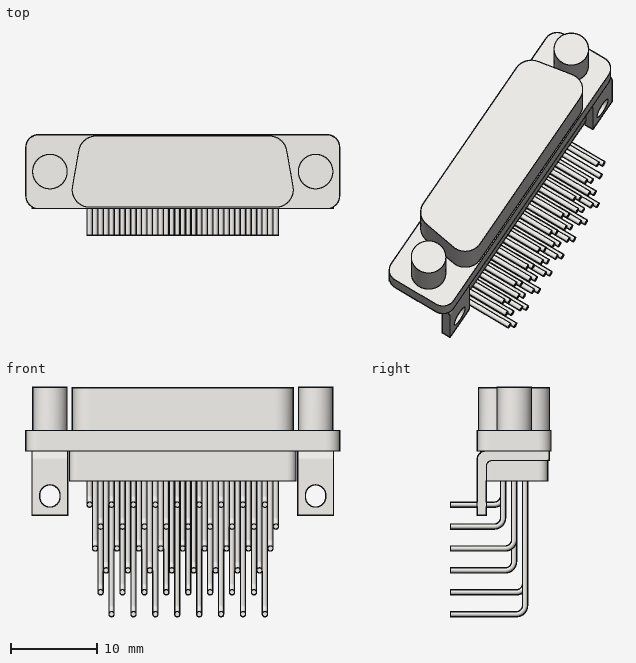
import cadquery as cq
import math


TOTAL_HEIGHT = 26.65

FLANGE_LENGTH = 36.4
FLANGE_WIDTH = 8.6
FLANGE_THICKNESS = 2.4
FLANGE_CORNER_RADIUS = 1.5

SHELL_MAX_LENGTH = 25.63
SHELL_WIDTH = 8.25
SHELL_HEIGHT = 4.95
SHELL_CORNER_RADIUS = 2.05
SHELL_SIDE_ANGLE = 10.0

POST_SPACING = 30.8
POST_DIAMETER = 4.0
POST_HEIGHT = 5.02

BODY_LENGTH = 26.28
BODY_WIDTH = 7.83
BODY_DEPTH = 3.5
BODY_CORNER_RADIUS = 1.0

BRACKET_WIDTH = 4.2
BRACKET_THICKNESS = 1.1
BRACKET_DROP = 7.45
BRACKET_REAR_SETBACK = 0.22
BRACKET_OUTER_RADIUS = 1.0
BRACKET_INNER_RADIUS = 0.65
BRACKET_HOLE_WIDTH = 2.33
BRACKET_HOLE_HEIGHT = 2.55
BRACKET_HOLE_DROP = 5.2

PIN_DIAMETER = 0.62
PIN_BEND_RADIUS = 1.02
PIN_TIP_Y = -7.4
PIN_LOWEST_DROP = TOTAL_HEIGHT - POST_HEIGHT - FLANGE_THICKNESS - PIN_DIAMETER / 2
PINS_PER_ROW = (18, 17, 16)
FRONT_ROW_SPAN = 21.6
PIN_PITCH = FRONT_ROW_SPAN / (PINS_PER_ROW[0] - 1)
ROW_SPACING = 1.27
LEVELS_PER_ROW = 2
LEVEL_SPACING = 2 * PIN_PITCH
LEVEL_COUNT = LEVELS_PER_ROW * len(PINS_PER_ROW)


def rounded_plate(length, width, height, radius):
    """Upright plate standing on Z = 0 with rounded vertical edges."""
    plate = cq.Workplane("XY").box(length, width, height, centered=(True, True, False))
    return plate.edges("|Z").fillet(radius)


def make_shell():
    """Trapezoid with rounded corners, rising from the top of the flange."""
    angle = math.radians(SHELL_SIDE_ANGLE)
    half_width = SHELL_WIDTH / 2
    corner_overhang = SHELL_CORNER_RADIUS * (1 / math.cos(angle) + math.tan(angle) - 1)
    front_half = SHELL_MAX_LENGTH / 2 + corner_overhang
    back_half = front_half - SHELL_WIDTH * math.tan(angle)
    corners = [
        (-front_half, -half_width),
        (front_half, -half_width),
        (back_half, half_width),
        (-back_half, half_width),
    ]
    shell = cq.Workplane("XY", origin=(0, 0, FLANGE_THICKNESS)).polyline(corners).close()
    return shell.extrude(SHELL_HEIGHT).edges("|Z").fillet(SHELL_CORNER_RADIUS)


def make_posts():
    """Pair of round posts on top of the flange."""
    base = cq.Workplane("XY", origin=(0, 0, FLANGE_THICKNESS))
    centres = [(-POST_SPACING / 2, 0), (POST_SPACING / 2, 0)]
    return base.pushPoints(centres).circle(POST_DIAMETER / 2).extrude(POST_HEIGHT)


def make_bracket(x_centre):
    """L-bracket: one leg under the flange, the other hanging flush with the flange front."""
    front = -FLANGE_WIDTH / 2
    rear = FLANGE_WIDTH / 2 - BRACKET_REAR_SETBACK
    leg_back = front + BRACKET_THICKNESS
    profile = [
        (rear, 0),
        (front, 0),
        (front, -BRACKET_DROP),
        (leg_back, -BRACKET_DROP),
        (leg_back, -BRACKET_THICKNESS),
        (rear, -BRACKET_THICKNESS),
    ]
    bracket = cq.Workplane("YZ", origin=(x_centre, 0, 0)).polyline(profile).close()
    bracket = bracket.extrude(BRACKET_WIDTH / 2, both=True)
    outer_bend = cq.selectors.NearestToPointSelector((x_centre, front, 0))
    bracket = bracket.edges(outer_bend).fillet(BRACKET_OUTER_RADIUS)
    inner_bend = cq.selectors.NearestToPointSelector((x_centre, leg_back, -BRACKET_THICKNESS))
    bracket = bracket.edges(inner_bend).fillet(BRACKET_INNER_RADIUS)

    hole = cq.Workplane("XZ", origin=(x_centre, leg_back, -BRACKET_HOLE_DROP))
    hole = hole.slot2D(BRACKET_HOLE_HEIGHT, BRACKET_HOLE_WIDTH, 90).extrude(BRACKET_THICKNESS)
    return bracket.cut(hole)


def make_pin(x, y, drop):
    """Right-angle pin going down from the body, then forward at the given drop."""
    arc_offset = PIN_BEND_RADIUS * (1 - math.sqrt(0.5))
    path = (
        cq.Workplane("YZ", origin=(x, 0, 0))
        .moveTo(y, -BODY_DEPTH / 2)
        .lineTo(y, -drop + PIN_BEND_RADIUS)
        .threePointArc((y - arc_offset, -drop + arc_offset), (y - PIN_BEND_RADIUS, -drop))
        .lineTo(PIN_TIP_Y, -drop)
    )
    section = cq.Workplane("XY", origin=(x, y, -BODY_DEPTH / 2)).circle(PIN_DIAMETER / 2)
    return section.sweep(path)


def make_pins():
    """All pins: every row has its own pair of tail levels, used alternately along X."""
    pins = []
    for row, count in enumerate(PINS_PER_ROW):
        y = (row - (len(PINS_PER_ROW) - 1) / 2) * ROW_SPACING
        for index in range(count):
            x = (index - (count - 1) / 2) * PIN_PITCH
            level = LEVELS_PER_ROW * row + index % LEVELS_PER_ROW
            drop = PIN_LOWEST_DROP - (LEVEL_COUNT - 1 - level) * LEVEL_SPACING
            pins.append(make_pin(x, y, drop))
    return pins


flange = rounded_plate(FLANGE_LENGTH, FLANGE_WIDTH, FLANGE_THICKNESS, FLANGE_CORNER_RADIUS)
body = rounded_plate(BODY_LENGTH, BODY_WIDTH, BODY_DEPTH, BODY_CORNER_RADIUS)
result = flange.union(body.translate((0, 0, -BODY_DEPTH)))
result = result.union(make_shell()).union(make_posts())
for side in (-1, 1):
    result = result.union(make_bracket(side * POST_SPACING / 2))
for pin in make_pins():
    result = result.union(pin)